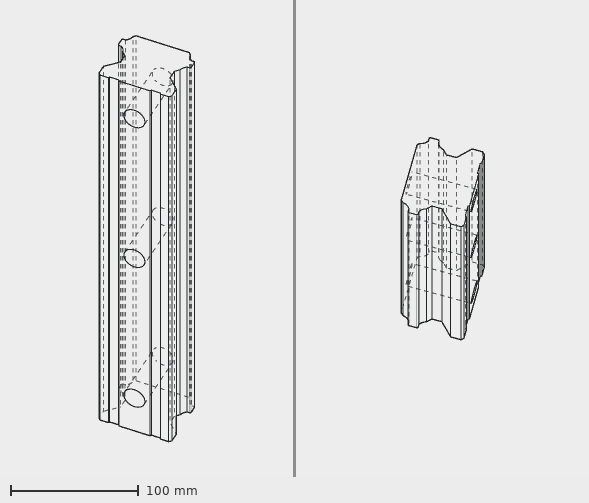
import cadquery as cq
import math

LENGTH = 370.0
WIDTH = 63.0
HEIGHT = 53.0

HALF_WIDTH = WIDTH / 2
TOP_SHOULDER = 24.8
WAIST_SHOULDER = 24.8
RACEWAY_RIM = 28.5
WAIST = 21.5

HEAD_TOP = 45.0
HEAD_BOTTOM = 37.0
RACEWAY_BOTTOM = 32.0
WAIST_TOP = 28.5
FOOT_TOP = 10.5
FOOT_SLOPE_RISE = HALF_WIDTH - WAIST

TOP_CHAMFER = 2.0
HEAD_FILLET = 1.0
BASE_CHAMFER = 2.0
RACEWAY_RADIUS = 8.0

RELIEF_INNER = 13.5
RELIEF_OUTER = 22.5
RELIEF_DEPTH = 1.0
RELIEF_WALL_RUN = 0.7

HOLE_DIAMETER = 18.0
HOLE_PITCH = 150.0
HOLE_COUNT = 3


def hollow_midpoint(start, end, radius):
    """Middle point of an arc that bows toward the rail's centre plane, X = 0."""
    dx = end[0] - start[0]
    dy = end[1] - start[1]
    chord = math.hypot(dx, dy)
    bow = radius - math.sqrt(radius**2 - (chord / 2) ** 2)
    inward = math.copysign(bow / chord, dy)
    middle_x = (start[0] + end[0]) / 2 - dy * inward
    middle_y = (start[1] + end[1]) / 2 + dx * inward
    return middle_x, middle_y


def rail_half():
    """Half of the rail on the +X side, extruded from Z = 0 to the full length."""
    lower_start = (WAIST_SHOULDER, RACEWAY_BOTTOM)
    lower_end = (RACEWAY_RIM, HEAD_BOTTOM)
    upper_start = (RACEWAY_RIM, HEAD_TOP)
    upper_end = (TOP_SHOULDER, HEIGHT - TOP_CHAMFER)
    section = (
        cq.Workplane("XY")
        .moveTo(0, 0)
        .lineTo(HALF_WIDTH - BASE_CHAMFER, 0)
        .lineTo(HALF_WIDTH, BASE_CHAMFER)
        .lineTo(HALF_WIDTH, FOOT_TOP)
        .lineTo(WAIST, FOOT_TOP + FOOT_SLOPE_RISE)
        .lineTo(WAIST, WAIST_TOP)
        .lineTo(*lower_start)
        .threePointArc(hollow_midpoint(lower_start, lower_end, RACEWAY_RADIUS), lower_end)
        .lineTo(HALF_WIDTH - HEAD_FILLET, HEAD_BOTTOM)
        .tangentArcPoint((HALF_WIDTH, HEAD_BOTTOM + HEAD_FILLET), relative=False)
        .lineTo(HALF_WIDTH, HEAD_TOP - HEAD_FILLET)
        .tangentArcPoint((HALF_WIDTH - HEAD_FILLET, HEAD_TOP), relative=False)
        .lineTo(*upper_start)
        .threePointArc(hollow_midpoint(upper_start, upper_end, RACEWAY_RADIUS), upper_end)
        .lineTo(TOP_SHOULDER - TOP_CHAMFER, HEIGHT)
        .lineTo(0, HEIGHT)
        .close()
    )
    relief = (
        cq.Workplane("XY")
        .moveTo(RELIEF_INNER, 0)
        .lineTo(RELIEF_OUTER, 0)
        .lineTo(RELIEF_OUTER - RELIEF_WALL_RUN, RELIEF_DEPTH)
        .lineTo(RELIEF_INNER + RELIEF_WALL_RUN, RELIEF_DEPTH)
        .close()
    )
    return section.extrude(LENGTH).cut(relief.extrude(LENGTH))


def mounting_holes():
    """Cylinders along Y, spaced evenly about the middle of the rail."""
    return (
        cq.Workplane("XZ")
        .center(0, LENGTH / 2)
        .rarray(3.7, HOLE_PITCH, 1, HOLE_COUNT)
        .circle(HOLE_DIAMETER / 2)
        .extrude(-HEIGHT)
    )


half = rail_half()
rail = half.union(half.mirror("YZ")).clean()
result = rail.cut(mounting_holes())